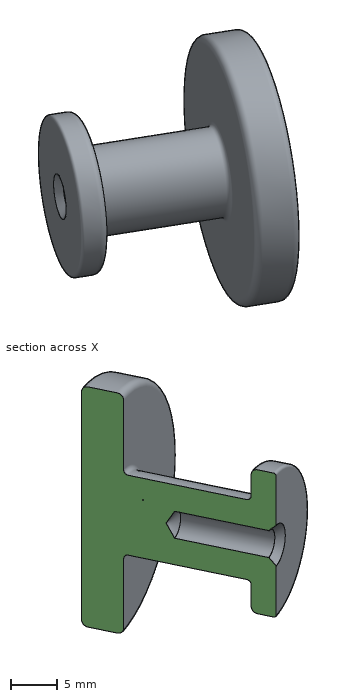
import cadquery as cq
import math

base_diameter = 29.95
base_thickness = 5.03
head_diameter = 17.95
head_thickness = 3.0
stem_diameter = 10.0
total_length = 23.0

flange_round = 0.8
head_face_round = 0.33
stem_fillet = 0.5

bore_diameter = 3.3
countersink_diameter = 5.03
countersink_angle = 90.0
bore_depth = 11.98
drill_tip_angle = 118.0


def disc(diameter, start, length):
    """Cylinder along +Y whose near face lies at Y = start."""
    plane = cq.Workplane("XZ", origin=(0, start, 0))
    return plane.circle(diameter / 2).extrude(-length)


def make_base():
    base = disc(base_diameter, total_length - base_thickness, base_thickness)
    return base.edges("%CIRCLE").fillet(flange_round)


def make_head():
    head = disc(head_diameter, 0, head_thickness)
    head = head.faces(">Y").edges().fillet(flange_round)
    return head.faces("<Y").edges().fillet(head_face_round)


def make_stem():
    """Stem with concave fillets flaring into the flanges at both ends."""
    radius = stem_diameter / 2
    flare_radius = radius + stem_fillet
    start = head_thickness
    end = total_length - base_thickness
    mid_offset = stem_fillet * (1 - math.sqrt(0.5))
    profile = (
        cq.Workplane("XY")
        .moveTo(0, start)
        .lineTo(flare_radius, start)
        .threePointArc((radius + mid_offset, start + mid_offset), (radius, start + stem_fillet))
        .lineTo(radius, end - stem_fillet)
        .threePointArc((radius + mid_offset, end - mid_offset), (flare_radius, end))
        .lineTo(0, end)
        .close()
    )
    return profile.revolve(360, (0, 0, 0), (0, 1, 0))


def make_hole():
    """Countersunk drilled hole with a conical bottom."""
    bore_radius = bore_diameter / 2
    mouth_radius = countersink_diameter / 2
    countersink_depth = (mouth_radius - bore_radius) / math.tan(math.radians(countersink_angle / 2))
    tip_depth = bore_radius / math.tan(math.radians(drill_tip_angle / 2))
    profile = cq.Workplane("XY").polyline([
        (0, 0),
        (mouth_radius, 0),
        (bore_radius, countersink_depth),
        (bore_radius, bore_depth),
        (0, bore_depth + tip_depth),
    ]).close()
    return profile.revolve(360, (0, 0, 0), (0, 1, 0))


result = make_base().union(make_stem()).union(make_head()).cut(make_hole())